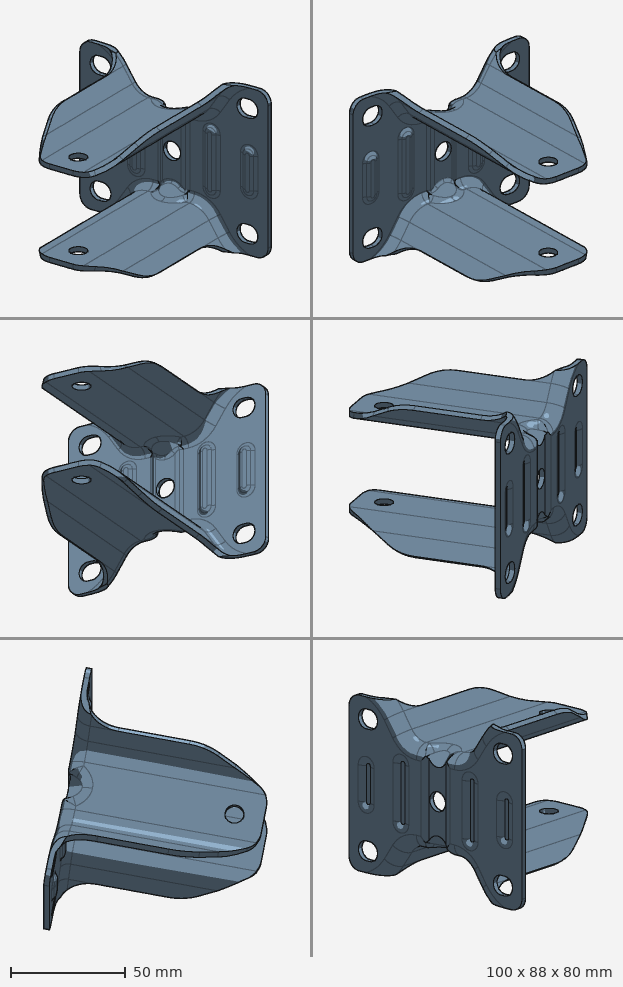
import cadquery as cq
import math

plate_width = 100
plate_height = 80
arm_reach = 88
thickness = 2.5
plate_corner_radius = 6

arm_gap = 42.2
web_half_width = 11
section_radius = 10
flank_angle = math.radians(56)
flank_length = 8.7
flare_radius = 28.5
flare_angle = math.radians(35)
fold_inside_radius = 4

root_radius = 16.5
shoulder_radius = 25
taper_angle = math.radians(32)
tip_corner_radius = 10
tip_half_width = 6.2

rib_flat_half_width = 1.1
channel_flat_half_width = 4.9
press_radius = 2.5
press_angle = math.radians(45)
rib_layout = [(20, 26.5), (40, 16.5)]
gusset_radius = 9.2

center_hole_diameter = 9
slot_length = 11
slot_width = 9
slot_x = 39
slot_z = 30
arm_hole_diameter = 8.2
arm_hole_from_back = 75

arm_outside = arm_gap / 2 + thickness
press_height = 2 * press_radius * (1 - math.cos(press_angle))
press_run = 2 * press_radius * math.sin(press_angle)
trim_depths = (-1, 12)
spline_steps = 16
edge_gap = 0.1
overlap = 5


def shifted(point, angle, distance):
    """Move a point of the XZ plane along the direction at the given angle."""
    return (point[0] + distance * math.cos(angle), point[1] + distance * math.sin(angle))


def section_block(depth, back, front):
    """Quarter block under the fold section, lying `depth` inside the outer sheet face."""
    arc_center = (web_half_width, arm_outside + section_radius)
    bend = section_radius + depth
    flare = flare_radius - depth
    quarter_turn = math.pi / 2

    web_end = (web_half_width, arm_outside - depth)
    bend_middle = shifted(arc_center, flank_angle / 2 - quarter_turn, bend)
    bend_end = shifted(arc_center, flank_angle - quarter_turn, bend)
    flank_end = shifted(bend_end, flank_angle, flank_length)
    flare_center = shifted(flank_end, flank_angle - quarter_turn, flare)
    flare_middle = shifted(flare_center, flank_angle + quarter_turn - flare_angle / 2, flare)
    flare_end = shifted(flare_center, flank_angle + quarter_turn - flare_angle, flare)
    side = plate_width / 2 + overlap
    rise = (side - flare_end[0]) * math.tan(flank_angle - flare_angle)
    return (
        cq.Workplane("XZ", origin=(0, -back, 0))
        .lineTo(0, web_end[1])
        .lineTo(*web_end)
        .threePointArc(bend_middle, bend_end)
        .lineTo(*flank_end)
        .threePointArc(flare_middle, flare_end)
        .lineTo(side, flare_end[1] + rise)
        .lineTo(side, 0)
        .close()
        .extrude(front - back)
    )


def round_fold(block, web_z, radius):
    """Round the fold at the back of a block, together with the end of the gusset on the arm."""
    low_corner = (edge_gap, -2 * gusset_radius, web_z - edge_gap)
    high_corner = (plate_width / 2 + overlap - edge_gap, edge_gap, plate_height)
    return block.edges(cq.selectors.BoxSelector(low_corner, high_corner)).fillet(radius)


def blend_channel_end(block):
    """Blend the crest of the channel into the gusset."""
    crest_y = -thickness - press_height
    low_corner = (edge_gap, crest_y - edge_gap, edge_gap)
    high_corner = (channel_flat_half_width - edge_gap, crest_y + edge_gap, arm_gap / 2)
    return block.edges(cq.selectors.BoxSelector(low_corner, high_corner)).fillet(press_radius)


def gusset_rod(radius):
    """Slanted rod through the outer corner of the fold, halfway between plate and arm."""
    direction = cq.Vector(0, -1, 1)
    length = 4 * gusset_radius
    start = cq.Vector(0, 0, arm_outside) - direction.normalized() * (length / 2)
    return cq.Workplane(cq.Solid.makeCylinder(radius, length, start, direction))


def press_section(flat_half_width, raised):
    """Half section of a pressing; raised is the front bump, otherwise the hollow behind it."""
    outer = flat_half_width + press_run
    root = -thickness / 2
    outline = cq.Workplane("XY").moveTo(0, root).lineTo(outer, root).lineTo(outer, 0)
    middle = (outer - press_run / 2, press_height / 2)
    radius = press_radius if raised else 2 * press_radius
    half = press_angle / 2
    first_end = middle if raised else (flat_half_width, press_height)
    outline = outline.threePointArc(
        (outer - radius * math.sin(half), radius * (1 - math.cos(half))), first_end)
    if raised:
        outline = outline.threePointArc(
            (flat_half_width + radius * math.sin(half), press_height - radius * (1 - math.cos(half))),
            (flat_half_width, press_height))
    return outline.lineTo(0, press_height).close()


def pressing(flat_half_width, half_length, raised, round_end):
    """Upper half of a vertical pressing standing on the front (raised) or back plane of the plate."""
    half = press_section(flat_half_width, raised).extrude(half_length)
    solid = half.union(half.mirror("YZ"))
    if round_end:
        end = press_section(flat_half_width, raised).revolve(360, (0, 0, 0), (0, 1, 0))
        solid = solid.union(end.translate((0, 0, half_length)))
    solid = solid.mirror("XZ")
    return solid.translate((0, -thickness, 0)) if raised else solid


def sheet_point(across, along, depth):
    """Place a point of the unrolled arm on the folded sheet, `depth` below its outer face."""
    neutral_radius = section_radius + thickness / 2
    angle = min(max((across - web_half_width) / neutral_radius, 0), flank_angle)
    straight = across - web_half_width - neutral_radius * angle
    bend = section_radius + depth
    x = web_half_width + bend * math.sin(angle) + straight * math.cos(angle)
    z = arm_outside + section_radius - bend * math.cos(angle) + straight * math.sin(angle)
    return cq.Vector(x, -along, z)


def trim_faces():
    """Faces square to the sheet along the edge of the arm, from its tip to its root."""
    bend_end = web_half_width + (section_radius + thickness / 2) * flank_angle
    arm_edge = bend_end + flank_length
    root_end = thickness + root_radius
    tip_y = arm_reach - tip_corner_radius
    taper_start = (tip_half_width + tip_corner_radius * math.cos(taper_angle),
                   tip_y + tip_corner_radius * math.sin(taper_angle))
    taper_meet = taper_start[1] - (arm_edge - taper_start[0]) / math.tan(taper_angle)
    shoulder_y = taper_meet - shoulder_radius * math.tan(taper_angle / 2)
    shoulder_x = arm_edge - shoulder_radius
    taper_end = (shoulder_x + shoulder_radius * math.cos(taper_angle),
                 shoulder_y + shoulder_radius * math.sin(taper_angle))
    bend_cross = (bend_end, taper_start[1] - (bend_end - taper_start[0]) / math.tan(taper_angle))

    def line(start, end):
        return lambda t: (start[0] + (end[0] - start[0]) * t, start[1] + (end[1] - start[1]) * t)

    def arc(x, y, radius, start, end):
        return lambda t: shifted((x, y), start + (end - start) * t, radius)

    shoulder = arc(shoulder_x, shoulder_y, shoulder_radius, taper_angle, 0)
    root = arc(arm_edge + root_radius, root_end, root_radius, math.pi, 1.5 * math.pi)
    path = [
        line((-overlap, arm_reach), (tip_half_width, arm_reach)),
        arc(tip_half_width, tip_y, tip_corner_radius, math.pi / 2, taper_angle),
        line(taper_start, bend_cross),
        line(bend_cross, taper_end),
        shoulder,
        line((arm_edge, shoulder_y), (arm_edge, root_end)),
        root,
    ]
    faces = []
    for place in path:
        edges = []
        for depth in trim_depths:
            if place in (shoulder, root):
                edge = cq.Edge.makeThreePointArc(*[sheet_point(*place(t), depth) for t in (0, 0.5, 1)])
            else:
                stations = [place(i / spline_steps) for i in range(spline_steps + 1)]
                edge = cq.Edge.makeSpline([sheet_point(*p, depth) for p in stations])
            edges.append(edge)
        faces.append(cq.Face.makeRuledSurface(*edges))
    return faces


def largest(shape):
    return cq.Workplane(max(shape.Solids(), key=lambda solid: solid.Volume()))


outer_block = section_block(0, 0, arm_reach + overlap).cut(gusset_rod(gusset_radius - thickness))
outer_block = round_fold(outer_block, arm_outside, fold_inside_radius + thickness)
outer_block = outer_block.cut(pressing(channel_flat_half_width, arm_outside + overlap, False, False))

inner_block = section_block(thickness, thickness, arm_reach + 2 * overlap).cut(gusset_rod(gusset_radius))
inner_block = round_fold(inner_block, arm_gap / 2, fold_inside_radius)
inner_block = inner_block.cut(pressing(channel_flat_half_width, arm_outside, True, False))
inner_block = blend_channel_end(inner_block)
quarter = outer_block.cut(inner_block)

envelope = cq.Workplane("XY").box(plate_width, 3 * arm_reach, plate_height)
quarter = quarter.intersect(envelope.edges("|Y").fillet(plate_corner_radius))
quarter = largest(quarter.val().split(*trim_faces()))

for rib_x, rib_length in rib_layout:
    for raised in (True, False):
        rib = pressing(rib_flat_half_width, rib_length / 2, raised, True).translate((rib_x, 0, 0))
        quarter = quarter.union(rib) if raised else quarter.cut(rib)

half = quarter.union(quarter.mirror("YZ"))
bracket = half.union(half.mirror("XY")).clean()

plate_holes = (
    cq.Workplane("XZ", origin=(0, overlap, 0))
    .circle(center_hole_diameter / 2)
    .rarray(2 * slot_x, 2 * slot_z, 2, 2)
    .slot2D(slot_length, slot_width)
    .extrude(3 * overlap)
)
arm_holes = (
    cq.Workplane("XY")
    .center(0, -arm_hole_from_back)
    .circle(arm_hole_diameter / 2)
    .extrude(plate_height, both=True)
)
result = bracket.cut(plate_holes).cut(arm_holes)